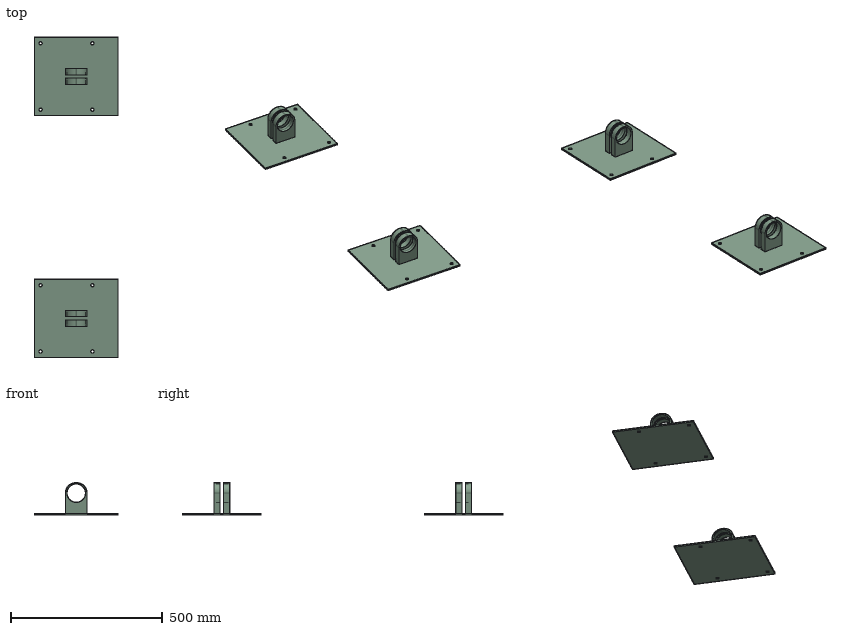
import cadquery as cq

total_length = 1059.0
total_height = 108.0

plate_width = 276.0
plate_length = 259.0
plate_thickness = 5.0
bracket_spacing = total_length - plate_length

screw_hole_diameter = 10.0
screw_edge_margin = 20.0
screw_spacing_x = 172.0
screw_spacing_y = plate_length - 2 * screw_edge_margin
screw_center_x = -plate_width / 2 + screw_edge_margin + screw_spacing_x / 2

lug_width = 72.0
lug_thickness = 21.0
lug_gap = 11.0
lug_height = total_height - plate_thickness
lug_crown_flat = 2.0
lug_corner_radius = (lug_width - lug_crown_flat) / 2
bore_diameter = 60.0
bore_height = total_height - lug_corner_radius


def make_plate():
    """Flat plate with its underside at Z = 0 and four screw holes."""
    return (
        cq.Workplane("XY")
        .box(plate_width, plate_length, plate_thickness, centered=(True, True, False))
        .faces(">Z")
        .workplane(origin=(screw_center_x, 0, 0))
        .rect(screw_spacing_x, screw_spacing_y, forConstruction=True)
        .vertices()
        .hole(screw_hole_diameter)
    )


def make_lug(center_y):
    """Upright lug with rounded top corners and a bore along Y."""
    block = (
        cq.Workplane("XY", origin=(0, center_y, plate_thickness))
        .box(lug_width, lug_thickness, lug_height, centered=(True, True, False))
        .edges("|Y and >Z")
        .fillet(lug_corner_radius)
    )
    bore = (
        cq.Workplane("XZ", origin=(0, center_y, bore_height))
        .circle(bore_diameter / 2)
        .extrude(lug_thickness, both=True)
    )
    return block.cut(bore)


def make_bracket():
    """Plate and its two lugs as one solid."""
    bracket = make_plate()
    for side in (-1, 1):
        bracket = bracket.union(make_lug(side * (lug_gap + lug_thickness) / 2))
    return bracket


brackets = []
for side in (-1, 1):
    bracket = make_bracket().translate((0, side * bracket_spacing / 2, 0))
    brackets.extend(bracket.solids().vals())

result = cq.Compound.makeCompound(brackets)